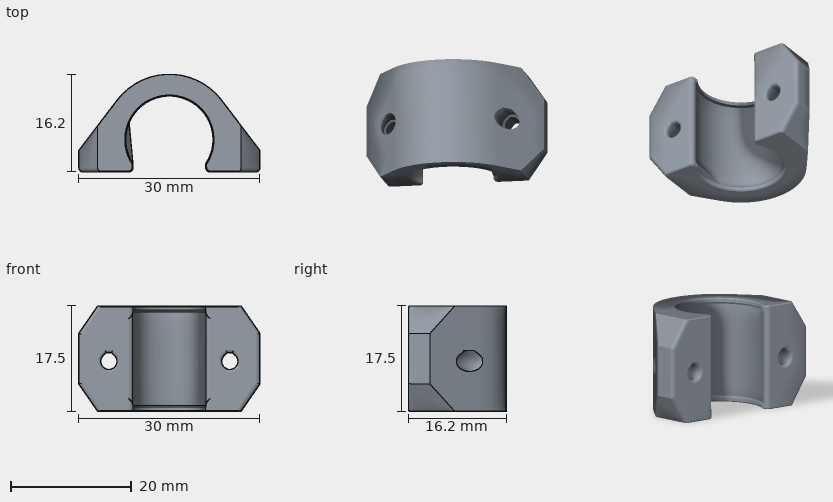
import cadquery as cq
import math

width = 29.97
depth = 16.19
height = 17.45
outer_radius = 10.83
front_y = outer_radius - depth
side_flat_depth = 3.58

lip_radius = 7.2
bore_radius = 7.5
lip_height = 0.7
jaw_half_gap = 6.0
relieved_half_gap = 6.06
jaw_start_x = 6.73

corner_cut_z = 4.53
corner_cut_x = 3.12
front_fillet = 0.7
end_chamfer = 0.18

hole_x = 10.0
hole_z = -0.45
pilot_radius = 1.32
clearance_radius = 1.67
hole_flat_ratio = 1.08
mouth_round = 0.5
clearance_start_y = 0.0

half_width = width / 2
half_height = height / 2


def tangent_point(x, y, radius):
    """Upper tangent point on a circle about the origin for a line through (x, y), x > 0."""
    angle = math.atan2(y, x) + math.acos(radius / math.hypot(x, y))
    return radius * math.cos(angle), radius * math.sin(angle)


def outer_block():
    """Round back, sloping flanks and flat front."""
    shoulder_y = front_y + side_flat_depth
    tangent_x, tangent_y = tangent_point(half_width, shoulder_y, outer_radius)
    return (
        cq.Workplane("XY", origin=(0, 0, -half_height))
        .moveTo(half_width, front_y)
        .lineTo(half_width, shoulder_y)
        .lineTo(tangent_x, tangent_y)
        .threePointArc((0, outer_radius), (-tangent_x, tangent_y))
        .lineTo(-half_width, shoulder_y)
        .lineTo(-half_width, front_y)
        .close()
        .extrude(height)
    )


def corner_envelope():
    """Octagonal prism along Y with its side edges rounded at the front."""
    x_corner = half_width - corner_cut_x
    z_corner = half_height - corner_cut_z
    prism = (
        cq.Workplane("XZ", origin=(0, front_y, 0))
        .polyline([
            (half_width, -z_corner), (half_width, z_corner),
            (x_corner, half_height), (-x_corner, half_height),
            (-half_width, z_corner), (-half_width, -z_corner),
            (-x_corner, -half_height), (x_corner, -half_height),
        ])
        .close()
        .extrude(-depth)
    )
    front_sides = (
        prism.faces("<Y").edges("<X or >X")
        .add(prism.faces("<Y").edges("not(|X or |Z)"))
    )
    return front_sides.fillet(front_fillet)


def opening(radius, half_gap):
    """Bore and jaw gap as one solid, with the jaw tips rounded into the front face."""
    rounding = jaw_start_x - half_gap
    corner_y = -math.sqrt(radius**2 - half_gap**2)
    mid = rounding * (1 - math.sqrt(0.5))
    return (
        cq.Workplane("XY", origin=(0, 0, -half_height))
        .moveTo(half_gap, corner_y)
        .threePointArc((0, radius), (-half_gap, corner_y))
        .lineTo(-half_gap, front_y + rounding)
        .threePointArc((-half_gap - mid, front_y + mid), (-jaw_start_x, front_y))
        .lineTo(jaw_start_x, front_y)
        .threePointArc((half_gap + mid, front_y + mid), (half_gap, front_y + rounding))
        .close()
        .extrude(height)
    )


def relief():
    """Wider opening between the end lips, ended by 45 degree cones about the bore axis."""
    cone_z = half_height - lip_height
    cone_radius = lip_radius + cone_z
    limits = (
        cq.Workplane("XZ")
        .polyline([
            (0, -cone_z), (lip_radius, -cone_z), (cone_radius, 0),
            (lip_radius, cone_z), (0, cone_z),
        ])
        .close()
        .revolve(360, (0, 0), (0, 1))
    )
    return opening(bore_radius, relieved_half_gap).intersect(limits)


def hole_profile(x, start_y, radius, length):
    """Flat-roofed teardrop bar along +Y."""
    roof = hole_flat_ratio * radius
    roof_half = math.sqrt(2) * radius - roof
    side = radius * math.sqrt(0.5)
    return (
        cq.Workplane("XZ", origin=(x, start_y, hole_z))
        .moveTo(roof_half, roof)
        .lineTo(-roof_half, roof)
        .lineTo(-side, side)
        .threePointArc((0, -radius), (side, side))
        .close()
        .extrude(-length)
    )


def screw_hole(x):
    """Pilot hole with a rounded mouth at the front and a clearance hole from the back."""
    reach = outer_radius - front_y
    pilot = hole_profile(x, front_y, pilot_radius, reach)
    clearance = hole_profile(x, clearance_start_y, clearance_radius, reach)
    return pilot.union(clearance)


def chamfer_ends(body):
    """Small chamfers where the end faces meet the front face, the jaws and the bore."""
    front_edge_x = (jaw_start_x + half_width) / 2
    inner_x = front_edge_x + end_chamfer
    inner_y = lip_radius / 2
    for end_z in (-half_height, half_height):
        inner_edges = cq.selectors.BoxSelector(
            (-inner_x, front_y - end_chamfer, end_z - end_chamfer),
            (inner_x, inner_y, end_z + end_chamfer),
        )
        body = body.edges(inner_edges).chamfer(end_chamfer)
    return body


def round_hole_mouth(body, x):
    """Round the front edge of one screw hole."""
    reach = 2 * pilot_radius
    mouth_edges = cq.selectors.BoxSelector(
        (x - reach, front_y - end_chamfer, hole_z - reach),
        (x + reach, front_y + end_chamfer, hole_z + reach),
    )
    return body.edges(mouth_edges).fillet(mouth_round)


body = outer_block().cut(opening(lip_radius, jaw_half_gap))
body = chamfer_ends(body)
body = body.intersect(corner_envelope())
body = body.cut(relief())
for side in (-1, 1):
    body = body.cut(screw_hole(side * hole_x))
    body = round_hole_mouth(body, side * hole_x)

result = body